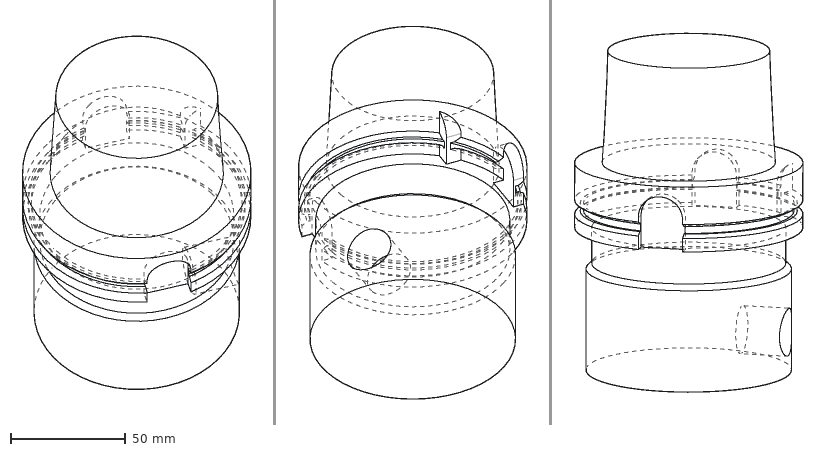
import cadquery as cq
import math

total_height = 143.0
taper_length = 50.0
flange_thickness = 29.0
flange_top = total_height - taper_length
flange_bottom = flange_top - flange_thickness
body_top = 47.9

flange_radius = 100.0 / 2
body_radius = 90.0 / 2
neck_radius = 85.0 / 2
taper_top_radius = 35.5
taper_base_radius = 37.9
body_chamfer = body_radius - neck_radius

groove_center = 73.1
groove_mouth_width = 6.3
groove_floor_width = 3.5
groove_floor_radius = 46.0
flare_slope = math.tan(math.radians(60))
flare_height = (groove_mouth_width - groove_floor_width) / 2
flare_inner_radius = flange_radius - flare_height * flare_slope

slot_width = 20.0
slot_top_gap = 4.7
slot_arc_center = flange_top - slot_top_gap - slot_width / 2
drive_slot_floor = 44.0
notch_floor = 31.6
notch_center_y = 41.6

side_hole_diameter = 21.0
side_hole_height = 19.5
side_hole_depth = side_hole_diameter


def turned_body():
    """Revolve the body, neck, grooved flange and taper in one profile."""
    mouth = groove_mouth_width / 2
    floor = groove_floor_width / 2
    profile = [
        (0, 0),
        (body_radius, 0),
        (body_radius, body_top - body_chamfer),
        (neck_radius, body_top),
        (neck_radius, flange_bottom),
        (flange_radius, flange_bottom),
        (flange_radius, groove_center - mouth),
        (flare_inner_radius, groove_center - floor),
        (groove_floor_radius, groove_center - floor),
        (groove_floor_radius, groove_center + floor),
        (flare_inner_radius, groove_center + floor),
        (flange_radius, groove_center + mouth),
        (flange_radius, flange_top),
        (taper_base_radius, flange_top),
        (taper_top_radius, total_height),
        (0, total_height),
    ]
    return cq.Workplane("XZ").polyline(profile).close().revolve(360, (0, 0), (0, 1))


def slot_cutter(floor_x, center_y):
    """Cutter running outward along +X from a flat floor at floor_x."""
    half = slot_width / 2
    return (
        cq.Workplane("YZ", origin=(floor_x, center_y, 0))
        .moveTo(-half, flange_bottom)
        .lineTo(half, flange_bottom)
        .lineTo(half, slot_arc_center)
        .threePointArc((0, slot_arc_center + half), (-half, slot_arc_center))
        .close()
        .extrude(flange_radius)
    )


def side_hole_cutter():
    """Blind radial hole entering the body from +Y."""
    return (
        cq.Workplane("XZ", origin=(0, body_radius, side_hole_height))
        .circle(side_hole_diameter / 2)
        .extrude(side_hole_depth)
    )


drive_slot = slot_cutter(drive_slot_floor, 0)
offset_notch = slot_cutter(notch_floor, notch_center_y).mirror("YZ")

result = (
    turned_body()
    .cut(drive_slot)
    .cut(drive_slot.mirror("YZ"))
    .cut(offset_notch)
    .cut(side_hole_cutter())
)